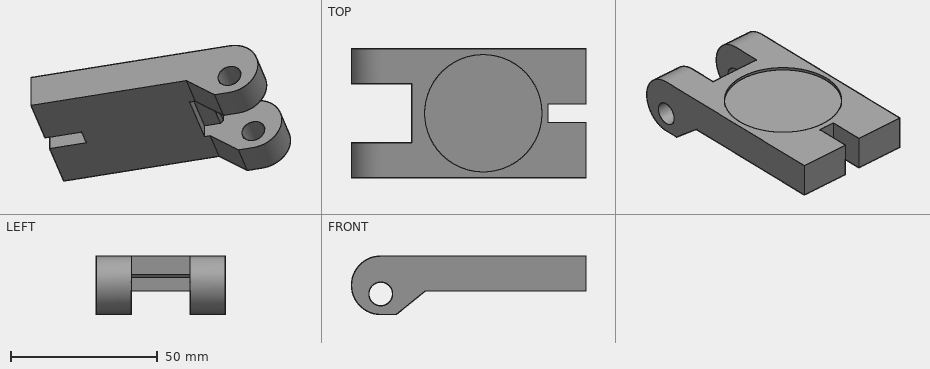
import cadquery as cq

length = 80
width = 44
height = 20
plate_thickness = 12

lug_radius = height / 2
lug_flat_end = 15.3
slope_end = 25.2
pin_diameter = 8
pin_height = 7.0
hinge_gap_depth = 20.6
hinge_gap_width = 20

undercut_roof = 12.6
undercut_end = 27.2
undercut_chamfer = 1.0

recess_diameter = 40
recess_center_x = 45.0
recess_depth = 1.0

end_slot_depth = 13.0
end_slot_width = 6.2

plate_bottom = height - plate_thickness


def make_body():
    """Side outline of the plate and its rounded lugs, extruded across the width."""
    return (
        cq.Workplane("XZ")
        .moveTo(lug_radius, 0)
        .lineTo(lug_flat_end, 0)
        .lineTo(slope_end, plate_bottom)
        .lineTo(length, plate_bottom)
        .lineTo(length, height)
        .lineTo(lug_radius, height)
        .threePointArc((0, lug_radius), (lug_radius, 0))
        .close()
        .extrude(width / 2, both=True)
    )


def make_through_slot(x_start, x_end, slot_width):
    """Full-height block centered on Y, used to cut a slot."""
    return (
        cq.Workplane("XY")
        .box(x_end - x_start, slot_width, height, centered=(False, True, False))
        .translate((x_start, 0, 0))
    )


def make_undercut():
    """Pocket open to the hinge gap and the underside, with a chamfered lip."""
    return (
        cq.Workplane("XZ")
        .moveTo(0, 0)
        .lineTo(undercut_end, 0)
        .lineTo(undercut_end, undercut_roof)
        .lineTo(hinge_gap_depth + undercut_chamfer, undercut_roof)
        .lineTo(hinge_gap_depth, undercut_roof + undercut_chamfer)
        .lineTo(0, undercut_roof + undercut_chamfer)
        .close()
        .extrude(hinge_gap_width / 2, both=True)
    )


def make_pin_hole():
    """Cylinder along Y through both lugs."""
    return (
        cq.Workplane("XZ")
        .center(lug_radius, pin_height)
        .circle(pin_diameter / 2)
        .extrude(width, both=True)
    )


def make_recess():
    """Shallow disc below the top face."""
    return (
        cq.Workplane("XY", origin=(recess_center_x, 0, height))
        .circle(recess_diameter / 2)
        .extrude(-recess_depth)
    )


result = (
    make_body()
    .cut(make_through_slot(0, hinge_gap_depth, hinge_gap_width))
    .cut(make_undercut())
    .cut(make_through_slot(length - end_slot_depth, length, end_slot_width))
    .cut(make_pin_hole())
    .cut(make_recess())
)